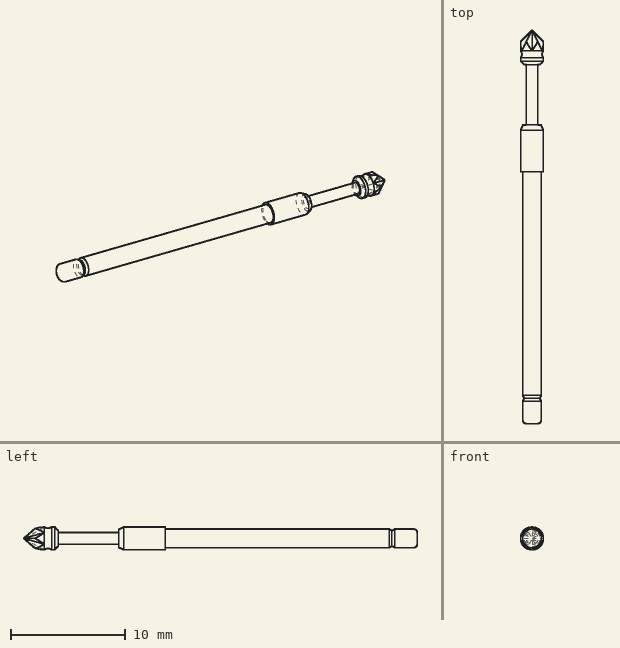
import cadquery as cq
import math

total_length = 34.3

head_radius = 1.0
head_base_radius = 0.7
plunger_radius = 0.5
collar_radius = 1.0
collar_front_radius = 0.8
barrel_radius = 0.82

crown_length = 1.82
head_groove_width = 0.62
head_band_length = 0.27
head_taper_length = head_radius - head_base_radius
plunger_length = 5.25
collar_length = 4.08
collar_taper_length = 0.45

rear_land_length = 1.95
rear_groove_width = 0.5

head_groove_depth = 0.1
rear_groove_depth = 0.15
rear_round = 0.35

ridge_count = 6
ridge_slope = 1.0
valley_slope = 0.56

crown_y = total_length - crown_length
head_band_y = crown_y - head_groove_width
head_taper_y = head_band_y - head_band_length
plunger_front_y = head_taper_y - head_taper_length
collar_front_y = plunger_front_y - plunger_length
collar_rear_y = collar_front_y - collar_length
rear_groove_y = rear_land_length + rear_groove_width


def turned_body():
    """Everything behind the crown, turned about the Y axis."""
    outline = cq.Workplane("XY").lineTo(barrel_radius - rear_round, 0)
    outline = outline.radiusArc((barrel_radius, rear_round), -rear_round)
    outline = outline.lineTo(barrel_radius, rear_land_length)
    outline = outline.lineTo(barrel_radius - rear_groove_depth, (rear_land_length + rear_groove_y) / 2)
    outline = outline.lineTo(barrel_radius, rear_groove_y)
    outline = outline.lineTo(barrel_radius, collar_rear_y)
    outline = outline.lineTo(collar_radius, collar_rear_y)
    outline = outline.lineTo(collar_radius, collar_front_y - collar_taper_length)
    outline = outline.lineTo(collar_front_radius, collar_front_y)
    outline = outline.lineTo(plunger_radius, collar_front_y)
    outline = outline.lineTo(plunger_radius, plunger_front_y)
    outline = outline.lineTo(head_base_radius, plunger_front_y)
    outline = outline.lineTo(head_radius, head_taper_y)
    outline = outline.lineTo(head_radius, head_band_y)
    head_groove_bottom = (head_radius - head_groove_depth, (head_band_y + crown_y) / 2)
    outline = outline.threePointArc(head_groove_bottom, (head_radius, crown_y))
    outline = outline.lineTo(0, crown_y).close()
    return outline.revolve(360, (0, 0), (0, 1))


def star_pyramid():
    """Pyramid on a six-pointed star, with its apex at the tip."""
    corners = []
    for index in range(2 * ridge_count):
        slope = valley_slope if index % 2 else ridge_slope
        radius = crown_length * slope
        angle = math.pi * index / ridge_count
        corners.append(cq.Vector(radius * math.cos(angle), crown_y, radius * math.sin(angle)))
    apex = cq.Vector(0, total_length, 0)

    def flat_face(points):
        return cq.Face.makeFromWires(cq.Wire.makePolygon(points, close=True))

    faces = [flat_face(corners)]
    for index, corner in enumerate(corners):
        faces.append(flat_face([corners[index - 1], corner, apex]))
    return cq.Workplane(cq.Solid.makeSolid(cq.Shell.makeShell(faces)))


def crown():
    """Cylindrical head front, sharpened by the star pyramid."""
    blank = cq.Workplane("XZ", origin=(0, crown_y, 0)).circle(head_radius).extrude(-crown_length)
    return blank.intersect(star_pyramid())


result = turned_body().union(crown())